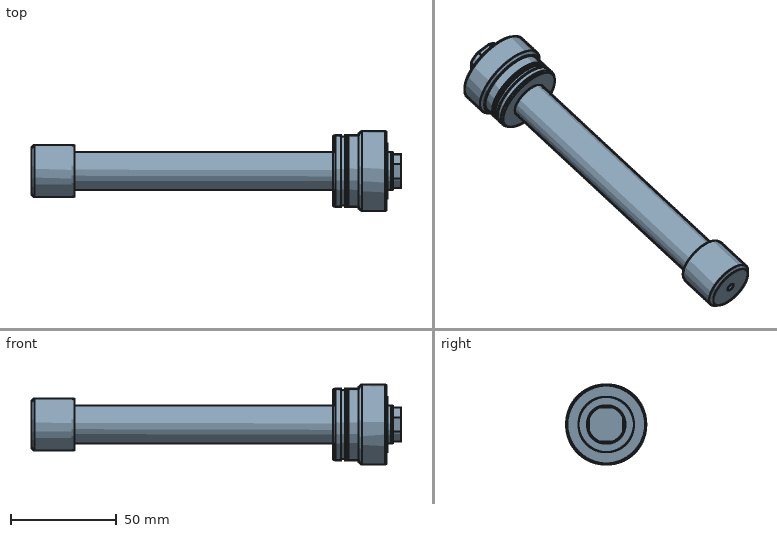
import cadquery as cq
import math

total_length = 175.0

rod_radius = 9.1
head_radius = 12.5
head_length = 20.5
head_front_chamfer = 1.4
head_back_taper_length = 1.4
head_back_taper_drop = 0.4
tip_length = 3.8
tip_radius = 8.8
tip_neck_taper = 1.0
flat_distance = 8.0

centre_mouth_radius = 2.0
centre_pilot_radius = 0.9
centre_cone_angle = 60
centre_cone_step = centre_mouth_radius - centre_pilot_radius
centre_cone_depth = centre_cone_step / math.tan(math.radians(centre_cone_angle / 2))
centre_pilot_depth = 4.4

gland_start = 142.8
gland_radius = 17.0
gland_chamfer_length = 1.0
gland_chamfer_drop = 0.5
ring_groove_start = 146.5
ring_groove_width = 2.0
ring_groove_depth = 0.5
line_groove_start = 149.3
line_groove_width = 0.7
line_groove_depth = 0.2
shoulder_start = 154.9
shoulder_radius = 17.7
shoulder_length = 1.5
flange_radius = 18.99
flange_end = 168.0
flange_chamfer = 0.5
boss_radius = 13.1
boss_height = 0.5


def turned(profile):
    """Revolve a closed (x, radius) outline about the X axis."""
    return cq.Workplane("XY").polyline(profile).close().revolve(360, (0, 0, 0), (1, 0, 0))


def cut_ring_groove(body, start, width, depth):
    """Cut a square groove into the outside of the gland barrel."""
    floor_radius = gland_radius - depth
    groove = turned([
        (start, floor_radius),
        (start + width, floor_radius),
        (start + width, flange_radius),
        (start, flange_radius),
    ])
    return body.cut(groove)


def make_rod():
    tip_start = total_length - tip_length
    rod = turned([
        (0, 0),
        (0, head_radius - head_front_chamfer),
        (head_front_chamfer, head_radius),
        (head_length - head_back_taper_length, head_radius),
        (head_length, head_radius - head_back_taper_drop),
        (head_length, rod_radius),
        (tip_start - tip_neck_taper, rod_radius),
        (tip_start, tip_radius),
        (total_length, tip_radius),
        (total_length, 0),
    ])

    tip_envelope = cq.Workplane("YZ", origin=(tip_start, 0, 0)).circle(2 * tip_radius).extrude(tip_length)
    flats_core = cq.Workplane("YZ", origin=(tip_start, 0, 0)).rect(
        2 * flat_distance, 2 * flat_distance).extrude(tip_length)
    rod = rod.cut(tip_envelope.cut(flats_core))

    centre_drilling = turned([
        (0, 0),
        (0, centre_mouth_radius),
        (centre_cone_depth, centre_pilot_radius),
        (centre_pilot_depth, centre_pilot_radius),
        (centre_pilot_depth, 0),
    ])
    return rod.cut(centre_drilling)


def make_gland():
    shoulder_end = shoulder_start + shoulder_length
    boss_end = flange_end + boss_height
    gland = turned([
        (gland_start, rod_radius),
        (gland_start, gland_radius - gland_chamfer_drop),
        (gland_start + gland_chamfer_length, gland_radius),
        (shoulder_start, gland_radius),
        (shoulder_start, shoulder_radius),
        (shoulder_end, flange_radius),
        (flange_end - flange_chamfer, flange_radius),
        (flange_end, flange_radius - flange_chamfer),
        (flange_end, boss_radius),
        (boss_end, boss_radius),
        (boss_end, rod_radius),
    ])
    gland = cut_ring_groove(gland, ring_groove_start, ring_groove_width, ring_groove_depth)
    return cut_ring_groove(gland, line_groove_start, line_groove_width, line_groove_depth)


rod = make_rod()
gland = make_gland()

result = cq.Compound.makeCompound([rod.val(), gland.val()])